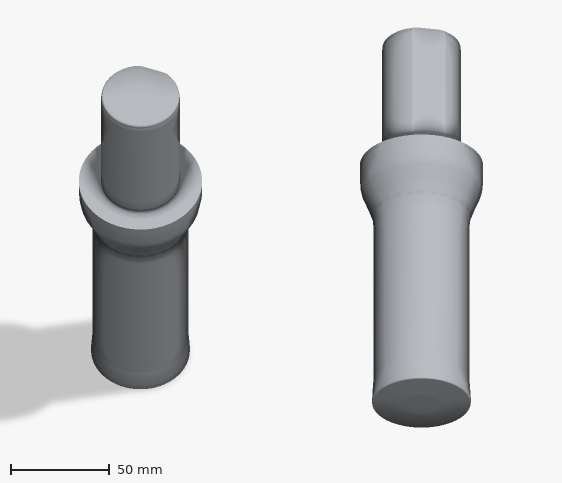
import cadquery as cq
import math


shank_length = 70.0
shank_radius = 39.99 / 2
relief_radius = 39.5 / 2
end_rounding = 1.1
end_relief_length = 1.8
end_relief_taper = 1.6

neck_top = 1.3
neck_taper = 0.5
neck_fillet = 0.5
neck_depth = 0.25
neck_floor_radius = 20.45
neck_rim_radius = 20.7

flat_offset = 18.0
flat_start = 4.8
flat_runout_angle = 30.0

body_length = 140.0
flange_radius = 62.5 / 2
flange_rim = 5.0
body_radius = 48.6 / 2
bell_length = 30.4
bell_shoulder = (29.4, 13.3)
bell_throat = (25.2, 24.0)

head_radius = 50.0 / 2
head_length = 14.3
end_cone_height = 0.9
end_flat_radius = 10.0
head_corner_radius = 0.6

rounding_middle = 1 - math.sqrt(0.5)


def revolve_profile(profile):
    """Closed profile of (radius, height) turned about Z."""
    return profile.close().revolve(360, (0, 0, 0), (0, 1, 0))


def make_flat_cutter():
    depth = shank_radius - flat_offset
    rise = depth * math.tan(math.radians(flat_runout_angle))
    return (
        cq.Workplane("YZ")
        .moveTo(flat_offset, flat_start)
        .lineTo(shank_radius, flat_start - rise)
        .lineTo(shank_radius, shank_length)
        .lineTo(flat_offset, shank_length)
        .close()
        .extrude(shank_radius, both=True)
    )


def make_holder():
    bell_points = [(radius, -flange_rim - depth) for radius, depth in (bell_throat, bell_shoulder)]
    bell_top = (flange_radius, -flange_rim)
    relief_end = shank_length - end_relief_length
    neck_middle = neck_fillet * rounding_middle
    end_middle = end_rounding * rounding_middle
    profile = (
        cq.Workplane("XZ")
        .moveTo(0, head_length - body_length)
        .lineTo(body_radius, head_length - body_length)
        .lineTo(body_radius, -flange_rim - bell_length)
        .spline([*bell_points, bell_top], tangents=[(0, 1), (0, 1)], includeCurrent=True)
        .lineTo(flange_radius, 0)
        .lineTo(neck_rim_radius, 0)
        .lineTo(neck_floor_radius, -neck_depth)
        .lineTo(relief_radius + neck_fillet, -neck_depth)
        .threePointArc(
            (relief_radius + neck_middle, neck_middle - neck_depth),
            (relief_radius, neck_fillet - neck_depth),
        )
        .lineTo(relief_radius, neck_top)
        .lineTo(shank_radius, neck_top + neck_taper)
        .lineTo(shank_radius, relief_end - end_relief_taper)
        .lineTo(relief_radius, relief_end)
        .lineTo(relief_radius, shank_length - end_rounding)
        .threePointArc(
            (relief_radius - end_middle, shank_length - end_middle),
            (relief_radius - end_rounding, shank_length),
        )
        .lineTo(0, shank_length)
    )
    return revolve_profile(profile).cut(make_flat_cutter())


def make_cutting_head():
    """Head that flares out to the full cutting radius and ends in a shallow cone with a flat centre."""
    top = head_length - body_length
    rim = end_cone_height - body_length
    flare = head_radius - body_radius
    flare_length = top - rim
    flare_radius = (flare_length**2 + flare**2) / (2 * flare)
    flare_inset = flare_radius - math.sqrt(flare_radius**2 - (flare_length / 2) ** 2)
    profile = (
        cq.Workplane("XZ")
        .moveTo(0, top)
        .lineTo(body_radius, top)
        .threePointArc((head_radius - flare_inset, rim + flare_length / 2), (head_radius, rim))
        .lineTo(end_flat_radius, -body_length)
        .lineTo(0, -body_length)
    )
    rim_edge = cq.selectors.NearestToPointSelector((0, 0, rim))
    return revolve_profile(profile).edges(rim_edge).fillet(head_corner_radius)


holder = make_holder()
cutting_head = make_cutting_head()
result = cq.Compound.makeCompound([holder.val(), cutting_head.val()])